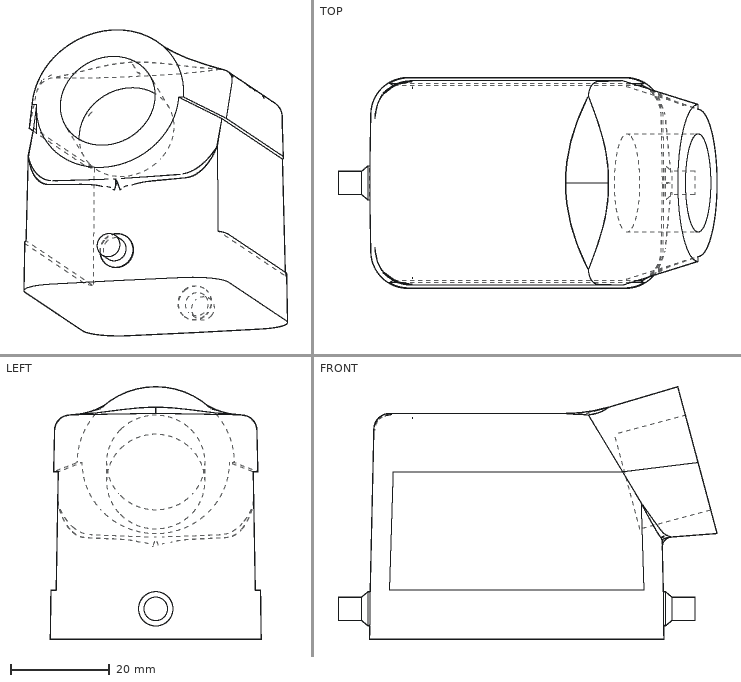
import cadquery as cq
import math

base_length = 60.0
base_width = 43.0
corner_radius = 7.6
band_height = 10.0
body_height = 46.0
band_draft = 0.75
wall_draft = 1.3
top_round = 3.2
crown_angle = 1.0

shoulder_height = 34.1
flat_bottom_width = 40.6
flat_draft = 1.0

outlet_tilt = 15.0
outlet_x = 36.95
outlet_z = 36.0
outlet_upper_radius = 16.0
outlet_lower_radius = 15.0
bore_diameter = 20.0
bore_depth = 15.0
round_end_angle = 24.5
top_start_angle = 40.0
flat_end_angle = -30.0
end_wall_angle = -60.0

root_top_x = 14.4
root_slope = 59.0
flat_corner_angle = 58.5
roof_blend_radius = 31.0
underside_radius = 2.0
blend_depth = 1.0
blend_lip = 0.02
curve_steps = 6

pin_z = 6.2
pin_diameter = 4.8
pin_tip_x = 36.35
collar_diameter = 7.0
collar_x = 30.3
cone_end_x = 31.6
pin_root_x = 28.0


def inset(height, draft):
    """Distance a wall leans inwards over a height."""
    return height * math.tan(math.radians(draft))


def wall_inset(z):
    """Distance of the wall inside the base outline, above the band."""
    return inset(band_height, band_draft) + inset(z - band_height, wall_draft)


def body_half_width(z):
    return base_width / 2 - wall_inset(z)


def body_half_length(z):
    return base_length / 2 - wall_inset(z)


def flat_half_width(z):
    return flat_bottom_width / 2 - inset(z - band_height, flat_draft)


def crown_drop(y):
    """Fall of a crowned face at a distance y from its centre line."""
    return abs(y) * math.tan(math.radians(crown_angle))


def roof_z(y):
    return body_height - crown_drop(y)


def outline(z, wall_offset):
    """Rounded outline of the body at height z, its two ends slightly crowned."""
    half_width = base_width / 2 - wall_offset
    tip_x = base_length / 2 - wall_offset
    corner_x = tip_x - crown_drop(half_width)
    corners = [
        (corner_x, half_width),
        (-corner_x, half_width),
        (-tip_x, 0),
        (-corner_x, -half_width),
        (corner_x, -half_width),
        (tip_x, 0),
        (corner_x, half_width),
    ]
    return (
        cq.Sketch()
        .polygon(corners)
        .vertices(">Y or <Y")
        .fillet(corner_radius)
        .moved(cq.Location(cq.Vector(0, 0, z)))
    )


def stage(low_z, low_inset, high_z, high_inset):
    """Drafted block between two outlines."""
    return cq.Workplane().placeSketch(outline(low_z, low_inset), outline(high_z, high_inset)).loft(ruled=True)


def make_roof_limit():
    """Prism with a ridge along X that gives the body its crowned roof."""
    return (
        cq.Workplane("YZ")
        .moveTo(-base_width, 0)
        .lineTo(-base_width, roof_z(base_width))
        .lineTo(0, body_height)
        .lineTo(base_width, roof_z(base_width))
        .lineTo(base_width, 0)
        .close()
        .extrude(base_length, both=True)
    )


def make_body():
    band_inset = inset(band_height, band_draft)
    band = stage(0, 0, band_height, band_inset)
    upper = stage(band_height, band_inset, body_height, wall_inset(body_height))
    upper = upper.intersect(make_roof_limit())
    ridge_margin = 1.0
    eaves = upper.faces(">Z").edges().filter(lambda edge: abs(edge.Center().y) > ridge_margin)
    upper = eaves.fillet(top_round)
    return band.union(upper)


def make_side_flat():
    """Material removed from the +Y side to leave the flat."""
    return (
        cq.Workplane("YZ")
        .moveTo(flat_half_width(band_height), band_height)
        .lineTo(base_width, band_height)
        .lineTo(base_width, shoulder_height)
        .lineTo(flat_half_width(shoulder_height), shoulder_height)
        .close()
        .extrude(base_length / 2, both=True)
    )


def root_point(y, z):
    """Point of the inclined root plane at a given height."""
    return cq.Vector(root_top_x + (body_height - z) / math.tan(math.radians(root_slope)), y, z)


def rim_point(radius, angle):
    """Point of the outlet rim, the angle measured up from its +Y end."""
    tilt = math.radians(outlet_tilt)
    across = radius * math.cos(math.radians(angle))
    up = radius * math.sin(math.radians(angle))
    return cq.Vector(outlet_x - up * math.sin(tilt), across, outlet_z + up * math.cos(tilt))


def rim_arc(radius, start_angle, end_angle):
    """Stretch of the outlet rim between two angles."""
    middle = (start_angle + end_angle) / 2
    return cq.Edge.makeThreePointArc(
        rim_point(radius, start_angle), rim_point(radius, middle), rim_point(radius, end_angle)
    )


def closed_section(half_edges):
    """Closed wire from a chain of edges on the +Y side, mirrored and joined across the start."""
    start = half_edges[0].startPoint()
    other_start = cq.Vector(start.x, -start.y, start.z)
    other_edges = [edge.mirror("XZ") for edge in reversed(half_edges)]
    return cq.Wire.assembleEdges([*half_edges, *other_edges, cq.Edge.makeLine(other_start, start)])


def rim_edges(radius, bend_start, bend_end, middle):
    """Half of the outlet rim, split at the angles that match the root edges."""
    angles = [0, bend_start, bend_end, middle]
    return [rim_arc(radius, *pair) for pair in zip(angles, angles[1:])]


def even_steps(start, end, count):
    return [start + (end - start) * step / count for step in range(count + 1)]


def top_round_point(angle):
    """Point of the body's rounded top edge on the root plane, the angle measured up from +Y."""
    lean = math.tan(math.radians(wall_draft))
    roof_gap = top_round / math.cos(math.radians(crown_angle))
    wall_gap = top_round / math.cos(math.radians(wall_draft))
    crown_slope = math.tan(math.radians(crown_angle))
    centre_y = (body_half_width(body_height) + lean * roof_gap - wall_gap) / (1 - lean * crown_slope)
    centre_z = roof_z(centre_y) - roof_gap
    turn = math.radians(angle)
    return root_point(centre_y + top_round * math.cos(turn), centre_z + top_round * math.sin(turn))


def upper_root_edges():
    """Side wall, rounded top edge and roof of the body on the root plane, from the shoulder to the ridge."""
    round_points = [top_round_point(a) for a in even_steps(wall_draft, 90 - crown_angle, curve_steps)]
    shoulder = root_point(body_half_width(shoulder_height), shoulder_height)
    return [
        cq.Edge.makeLine(shoulder, round_points[0]),
        cq.Edge.makeSpline(round_points),
        cq.Edge.makeLine(round_points[-1], root_point(0, body_height)),
    ]


def end_wall_point(x_at_band, y_at_band):
    """Where the drafted wall line through a point at the band's top edge meets the root plane."""
    lean = math.tan(math.radians(wall_draft))
    slope = math.tan(math.radians(root_slope))
    height = body_height - band_height
    rise = (height - (x_at_band - root_top_x) * slope) / (1 - lean * slope)
    return root_point(y_at_band - lean * rise, band_height + rise)


def corner_root_point(angle):
    """Point of the body's vertical corner on the root plane, the angle turned from +X to +Y."""
    centre_y = body_half_width(band_height) - corner_radius
    end_gap = corner_radius / math.cos(math.radians(crown_angle))
    centre_x = body_half_length(band_height) - crown_drop(centre_y) - end_gap
    turn = math.radians(angle)
    return end_wall_point(
        centre_x + corner_radius * math.cos(turn), centre_y + corner_radius * math.sin(turn)
    )


def lower_root_edges():
    """Side flat, corner and end wall of the body on the root plane, from the shoulder to the middle."""
    shoulder = root_point(flat_half_width(shoulder_height), shoulder_height)
    corner_points = [corner_root_point(a) for a in even_steps(flat_corner_angle, crown_angle, curve_steps)]
    middle = end_wall_point(body_half_length(band_height), 0)
    middle.y = 0
    return [
        cq.Edge.makeLine(shoulder, corner_points[0]),
        cq.Edge.makeSpline(corner_points),
        cq.Edge.makeLine(corner_points[-1], middle),
    ]


def loft_outlet(root_edges, rim_edges):
    """Straight-ruled half of the outlet between the body and the outlet face."""
    sections = [closed_section(root_edges), closed_section(rim_edges)]
    return cq.Workplane(cq.Solid.makeLoft(sections, True))


def blend_section(root, rim, normal, radius):
    """Section of a blend between a body face with this normal and the outlet's ruling from root to rim."""
    outward = (rim - root).normalized()
    rise = outward.dot(normal)
    inward = (normal * rise - outward).normalized()
    half_bend = math.asin(rise) / 2
    reach = radius * math.tan(half_bend)
    sag = radius / math.cos(half_bend) - radius
    open_side = (inward + outward).normalized()
    body_end = root + inward * reach + open_side * blend_lip
    outlet_end = root + outward * reach + open_side * blend_lip
    middle = root + open_side * (sag + blend_lip)
    buried = root - open_side * blend_depth
    return cq.Wire.assembleEdges([
        cq.Edge.makeThreePointArc(body_end, middle, outlet_end),
        cq.Edge.makeLine(outlet_end, buried),
        cq.Edge.makeLine(buried, body_end),
    ])


def rulings(root_edge, rim_edge, shares):
    """Matching root and rim points at shares of the way along both edges."""
    return [
        (root_edge.positionAt(share), rim_edge.positionAt(share))
        for share in shares
    ]


def make_roof_blend(root_edge, rim_edge):
    """Half of the lens-shaped blend between the roof and the outlet, on the +Y side."""
    crown = math.radians(crown_angle)
    normal = cq.Vector(0, math.sin(crown), math.cos(crown))
    pairs = rulings(root_edge, rim_edge, even_steps(0, 1, curve_steps))
    return cq.Workplane(cq.Solid.makeLoft([blend_section(*pair, normal, roof_blend_radius) for pair in pairs]))


def wall_normal(angle):
    turn = math.radians(angle)
    lean = math.tan(math.radians(wall_draft))
    return cq.Vector(math.cos(turn), math.sin(turn), lean).normalized()


def make_underside_blend(root_edges, rim_edges):
    """Half of the blend between the end wall and the outlet's underside, fading out at the side flat."""
    shares = even_steps(0, 1, curve_steps)
    angles = even_steps(flat_corner_angle, crown_angle, curve_steps)
    corner_pairs = rulings(root_edges[1], rim_edges[1], shares)
    sections = [
        blend_section(*pair, wall_normal(angle), underside_radius)
        for pair, angle in zip(corner_pairs, angles)
    ]
    wall_pairs = rulings(root_edges[2], rim_edges[2], shares[1:])
    sections += [blend_section(*pair, wall_normal(crown_angle), underside_radius) for pair in wall_pairs]
    return cq.Workplane(cq.Solid.makeLoft(sections))


def make_bore():
    tilt = math.radians(outlet_tilt)
    inward = cq.Vector(-math.cos(tilt), 0, -math.sin(tilt))
    mouth = cq.Vector(outlet_x, 0, outlet_z)
    return cq.Workplane(cq.Solid.makeCylinder(bore_diameter / 2, bore_depth, mouth, inward))


def make_pin():
    """Pin on the +X end: collar, cone and shank turned about a line along X."""
    return (
        cq.Workplane("XZ")
        .moveTo(pin_root_x, 0)
        .lineTo(pin_root_x, collar_diameter / 2)
        .lineTo(collar_x, collar_diameter / 2)
        .lineTo(cone_end_x, pin_diameter / 2)
        .lineTo(pin_tip_x, pin_diameter / 2)
        .lineTo(pin_tip_x, 0)
        .close()
        .revolve(360, (0, 0, 0), (1, 0, 0))
        .translate((0, 0, pin_z))
    )


def make_root_waste():
    """Wedge of the body that lies beyond the root plane of the outlet."""
    top_z = 2 * body_height
    return (
        cq.Workplane("XZ")
        .moveTo(root_point(0, 0).x, 0)
        .lineTo(root_point(0, top_z).x, top_z)
        .lineTo(base_length, top_z)
        .lineTo(base_length, 0)
        .close()
        .extrude(base_width, both=True)
    )


side_flat = make_side_flat()
pin = make_pin()
upper_root = upper_root_edges()
upper_rim = rim_edges(outlet_upper_radius, round_end_angle, top_start_angle, 90)
lower_root = lower_root_edges()
lower_rim = rim_edges(outlet_lower_radius, flat_end_angle, end_wall_angle, -90)
roof_blend = make_roof_blend(upper_root[2], upper_rim[2])
underside_blend = make_underside_blend(lower_root, lower_rim)

result = make_body().cut(side_flat).cut(side_flat.mirror("XZ")).cut(make_root_waste())
result = result.union(loft_outlet(upper_root, upper_rim)).union(loft_outlet(lower_root, lower_rim))
for blend in (roof_blend, underside_blend):
    result = result.union(blend, clean=False).union(blend.mirror("XZ"), clean=False)
result = result.cut(make_bore(), clean=False)
result = result.union(pin, clean=False).union(pin.mirror("YZ"), clean=False)